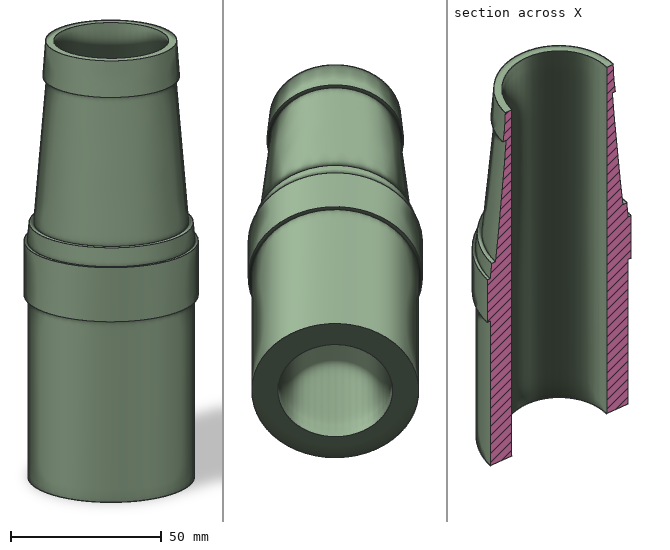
import cadquery as cq

total_height = 152.2
ring_bottom = 63.5
ring_top = 82.4
collar_top = 88.8
barb_bottom = 139.7

pipe_radius = 27.7
ring_radius = 28.9
collar_base_radius = 27.9
collar_top_radius = 27.2
cone_base_radius = 25.7
cone_top_radius = 21.5
barb_base_radius = 22.7
barb_top_radius = 21.8

bore_radius = 19.0

profile = [
    (0, 0),
    (pipe_radius, 0),
    (pipe_radius, ring_bottom),
    (ring_radius, ring_bottom),
    (ring_radius, ring_top),
    (collar_base_radius, ring_top),
    (collar_top_radius, collar_top),
    (cone_base_radius, collar_top),
    (cone_top_radius, barb_bottom),
    (barb_base_radius, barb_bottom),
    (barb_top_radius, total_height),
    (0, total_height),
]
body = cq.Workplane("XZ").polyline(profile).close().revolve(360, (0, 0), (0, 1))

bore = cq.Workplane("XY").circle(bore_radius).extrude(total_height)

result = body.cut(bore)